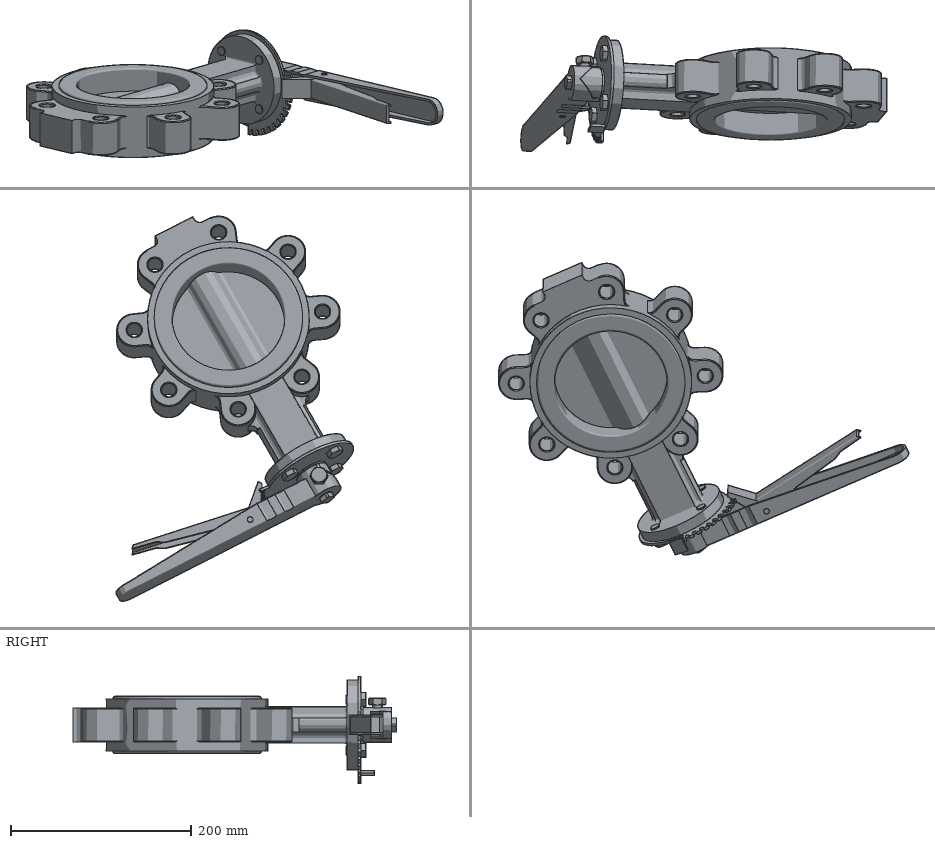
import cadquery as cq
import math


bore_d = 125.0
bore_rim_fillet = 2.3
ring_d = 180.0
ring_width = 58.0
seat_face_d = 165.0
seat_width = 63.7
seat_face_fillet = 2.5

lug_count = 8
lug_circle_r = 105.0
lug_r = 19.5
lug_thickness = 38.0
lug_hole_d = 16.0
lug_hole_chamfer = 1.0
lug_root_r = 9.0
lug_root_sink = 0.5
lug_edge_chamfer = 1.0
lug_step = 360 / lug_count

foot_half_width = 23.8
foot_bottom_y = -127.0
foot_shelf_y = -(lug_circle_r * math.cos(math.radians(lug_step / 2)) + lug_r)
foot_corner_r = 6.8

neck_width = 42.2
neck_depth = 40.7
rib_half_width = 31.0
rib_half_depth = 8.0
rib_end_x = 27.5
rib_root_z = 16.0
neck_fillet = 2.5
gusset_r = 7.5
gusset_top_y = 124.5
gusset_bottom_y = 105.5

flange_d = 100.0
flange_bottom_y = 178.0
flange_top_y = 190.0
plate_r = 54.0
plate_thickness = 3.0
plate_top_y = flange_top_y + plate_thickness
bolt_offset = 28.3
bolt_places = [(x, z) for x in (-bolt_offset, bolt_offset) for z in (-bolt_offset, bolt_offset)]
bolt_d = 10.0
bolt_head_flats = 16.0
bolt_head_height = 5.5
bolt_tip_length = 1.5

sector_r = 65.2
slot_count = 12
slot_width = 4.0
slot_bottom_r = 58.8
first_slot_angle = 4.7
slot_pitch = (90 - first_slot_angle) / (slot_count - 2)
sector_end_angle = 90 + 1.5 * slot_pitch
stop_tab_angle = -10.5
stop_tab_r = 54.3
stop_tab_width = 15.5
stop_tab_height = 16.5

disc_hub_r = 19.4
disc_hub_half_chord = 16.5
disc_root_half_width = 24.0
stem_d = 16.0
stem_tip_flats = 13.0
stem_bottom_y = -83.0
stem_top_y = 233.0

hub_d = 39.0
hub_relief_d = 36.5
hub_foot_d = 35.5
hub_foot_height = 2.3
hub_top_y = 227.5
relief_apex_y = 221.0
relief_corner_y = 204.5
relief_half_width = 17.7
lever_half_depth = 14.9
lever_corner_r = 14.7
lever_wall = 2.5
lever_end_x = 260.0
lever_taper_start = (74.3, 203.5)
lever_taper_end = (245.0, 217.5)
lever_edge_fillet = 1.32
pocket_start_x = 22.5
grip_grooves = [(40.5, 51.5), (62.0, 74.3)]
groove_depth = 1.0
pivot = (89.9, 217.0)
pivot_d = 6.5
set_screw_y = 211.5
set_screw_neck_d = 11.0
set_screw_flats = 17.0
set_screw_chamfer = 1.0
set_screw_head_z = (22.2, 29.8)

trigger_half_depth = 11.0
trigger_wall = 2.3
trigger_edge_fillet = 1.5
trigger_bend = (83.7, 202.0)
trigger_tip = (217.5, 180.0)
trigger_top_edge = [(221.3, 183.2), (193.8, 189.0), (184.7, 194.0), (132.0, 206.5), (96.0, 222.0), (81.0, 222.0)]
catch_throat = (69.0, 203.5)
catch_corner = (57.3, 184.7)
catch_tip = (60.0, 180.2)
catch_hollow_bottom_y = 189.2
pivot_pin_overhang = 0.8


def y_cylinder(diameter, bottom_y, top_y, x=0, z=0):
    """Cylinder along Y."""
    base = cq.Workplane("XZ", origin=(x, bottom_y, z))
    return base.circle(diameter / 2).extrude(bottom_y - top_y)


def y_hexagon(flats, bottom_y, top_y, x, z):
    """Hexagonal prism along Y, with two corners pointing along X."""
    base = cq.Workplane("XZ", origin=(x, bottom_y, z))
    return base.polygon(6, flats / math.cos(math.pi / 6)).extrude(bottom_y - top_y)


def z_slab(outline, half_depth):
    """Closed outline in XY, extruded to both sides of Z = 0."""
    return outline.close().extrude(2 * half_depth).translate((0, 0, -half_depth))


def z_cylinder(diameter, height, x=0, y=0):
    """Cylinder along Z, centred on Z = 0."""
    return cq.Workplane("XY", origin=(x, y, -height / 2)).circle(diameter / 2).extrude(height)


def make_ring():
    seat = z_cylinder(seat_face_d, seat_width).faces("|Z").edges().fillet(seat_face_fillet)
    return seat.union(z_cylinder(ring_d, ring_width))


def make_lug(angle):
    """Round lug with straight sides on the +X side, blended into the ring, then turned in place."""
    root_y = lug_r + lug_root_r
    rooted_r = ring_d / 2 - lug_root_sink
    root_angle = math.asin(root_y / (rooted_r + lug_root_r))
    root_x = root_y / math.tan(root_angle)
    ring_x = rooted_r * math.cos(root_angle)
    ring_y = rooted_r * math.sin(root_angle)
    bend_angle = (math.pi / 2 + root_angle) / 2
    mid_x = root_x - lug_root_r * math.sin(math.pi / 2 - bend_angle)
    mid_y = root_y - lug_root_r * math.sin(bend_angle)
    outline = (
        cq.Workplane("XY")
        .moveTo(ring_x - lug_root_r, -ring_y)
        .lineTo(ring_x, -ring_y)
        .threePointArc((mid_x, -mid_y), (root_x, -lug_r))
        .lineTo(lug_circle_r, -lug_r)
        .threePointArc((lug_circle_r + lug_r, 0), (lug_circle_r, lug_r))
        .lineTo(root_x, lug_r)
        .threePointArc((mid_x, mid_y), (ring_x, ring_y))
        .lineTo(ring_x - lug_root_r, ring_y)
    )
    lug = z_slab(outline, lug_thickness / 2)
    lug = lug.faces("|Z").edges().chamfer(lug_edge_chamfer)
    return lug.rotate((0, 0, 0), (0, 0, 1), angle)


def make_lug_hole(angle):
    """Cutter for one bolt hole with a small chamfer at each end."""
    half = lug_thickness / 2
    rim_r = lug_hole_d / 2 + lug_hole_chamfer
    hole = (
        cq.Workplane("XZ")
        .moveTo(0, -half)
        .lineTo(rim_r, -half)
        .lineTo(lug_hole_d / 2, -half + lug_hole_chamfer)
        .lineTo(lug_hole_d / 2, half - lug_hole_chamfer)
        .lineTo(rim_r, half)
        .lineTo(0, half)
        .close()
        .revolve(360, (0, 0, 0), (0, 1, 0))
    )
    return hole.translate((lug_circle_r, 0, 0)).rotate((0, 0, 0), (0, 0, 1), angle)


def make_foot():
    """Block between the two bottom lugs, with a concave corner on each side."""
    shelf_x = foot_half_width + foot_corner_r
    corner_y = foot_shelf_y - foot_corner_r
    bulge = foot_corner_r * (1 - math.sqrt(0.5))
    lug_x = lug_circle_r * math.sin(math.radians(lug_step / 2))
    outline = (
        cq.Workplane("XY")
        .moveTo(-foot_half_width, foot_bottom_y)
        .lineTo(foot_half_width, foot_bottom_y)
        .lineTo(foot_half_width, corner_y)
        .threePointArc((foot_half_width + bulge, foot_shelf_y - bulge), (shelf_x, foot_shelf_y))
        .lineTo(lug_x, foot_shelf_y)
        .lineTo(lug_x, -bore_d / 2)
        .lineTo(-lug_x, -bore_d / 2)
        .lineTo(-lug_x, foot_shelf_y)
        .lineTo(-shelf_x, foot_shelf_y)
        .threePointArc((-foot_half_width - bulge, foot_shelf_y - bulge), (-foot_half_width, corner_y))
    )
    return z_slab(outline, lug_thickness / 2)


def make_neck():
    """Rectangular column with a round-edged rib along each side, and its flange."""
    half_width = neck_width / 2
    half_depth = neck_depth / 2
    root_bend = 1 - math.sqrt(0.5)
    root_x = half_width + (rib_end_x - half_width) * root_bend
    root_z = rib_half_depth + (rib_root_z - rib_half_depth) * root_bend
    outline = cq.Workplane("XZ", origin=(0, flange_bottom_y, 0)).moveTo(-half_width, half_depth)
    for side in (1, -1):
        outline = (
            outline.lineTo(side * half_width, side * half_depth)
            .lineTo(side * half_width, side * rib_root_z)
            .threePointArc((side * root_x, side * root_z), (side * rib_end_x, side * rib_half_depth))
            .threePointArc((side * rib_half_width, 0), (side * rib_end_x, -side * rib_half_depth))
            .threePointArc((side * root_x, -side * root_z), (side * half_width, -side * rib_root_z))
            .lineTo(side * half_width, -side * half_depth)
        )
    neck = outline.close().extrude(flange_bottom_y - bore_d / 2)
    flange = y_cylinder(flange_d, flange_bottom_y, flange_top_y)
    joint = cq.selectors.BoxSelector(
        (-rib_half_width - 3.8, flange_bottom_y - 0.5, -half_depth - 3.8),
        (rib_half_width + 3.8, flange_bottom_y + 0.5, half_depth + 3.8),
        boundingbox=True,
    )
    return neck.union(flange).edges(joint).fillet(neck_fillet)


def make_gusset(side):
    """Small concave flare between the rib and the upper lug."""
    rib_x = side * rib_half_width
    flare_x = side * (rib_half_width + gusset_r)
    flare_y = gusset_top_y - gusset_r
    bulge = gusset_r * (1 - math.sqrt(0.5))
    outline = (
        cq.Workplane("XY")
        .moveTo(0, gusset_top_y)
        .lineTo(rib_x, gusset_top_y)
        .threePointArc((rib_x + side * bulge, flare_y + bulge), (flare_x, flare_y))
        .lineTo(flare_x, gusset_bottom_y)
        .lineTo(0, gusset_bottom_y)
    )
    return z_slab(outline, rib_half_depth)


def make_body():
    body = make_ring().union(make_neck()).union(make_foot())
    for index in range(lug_count):
        body = body.union(make_lug(lug_step * (index + 0.5)))
    for side in (-1, 1):
        body = body.union(make_gusset(side))
    body = body.cut(z_cylinder(bore_d, seat_width))
    bore_rims = cq.selectors.RadiusNthSelector(0)
    body = body.faces("<Z or >Z").edges(bore_rims).fillet(bore_rim_fillet)
    for index in range(lug_count):
        body = body.cut(make_lug_hole(lug_step * (index + 0.5)))
    body = body.cut(y_cylinder(stem_d, stem_bottom_y, flange_top_y))
    for x, z in bolt_places:
        body = body.cut(y_cylinder(bolt_d, flange_bottom_y - 3.8, flange_top_y, x, z))
    return body


def make_disc():
    """Round disc with a blended hub rib, on one stem that runs from the lower seat to the lever."""
    rib_z = math.sqrt(disc_hub_r**2 - disc_hub_half_chord**2)
    tilt = math.asin(disc_hub_half_chord / disc_hub_r)
    root_r = (disc_root_half_width - disc_hub_half_chord) / math.sin(tilt)
    root_top_z = rib_z - root_r * (1 - math.cos(tilt))
    mid_x = disc_root_half_width - root_r * math.sin(tilt / 2)
    mid_z = root_top_z + root_r * (1 - math.cos(tilt / 2))
    bore_r = bore_d / 2
    outline = (
        cq.Workplane("XZ", origin=(0, -bore_r, 0))
        .moveTo(-bore_r, root_top_z)
        .lineTo(-disc_root_half_width, root_top_z)
        .threePointArc((-mid_x, mid_z), (-disc_hub_half_chord, rib_z))
        .threePointArc((0, disc_hub_r), (disc_hub_half_chord, rib_z))
        .threePointArc((mid_x, mid_z), (disc_root_half_width, root_top_z))
        .lineTo(bore_r, root_top_z)
        .lineTo(bore_r, 0)
        .lineTo(-bore_r, 0)
    )
    half = outline.close().extrude(-bore_d)
    disc = half.union(half.mirror("XY"))
    disc = disc.intersect(z_cylinder(bore_d, bore_d))
    tip = cq.Workplane("XZ", origin=(0, hub_top_y, 0)).rect(stem_tip_flats, stem_tip_flats)
    tip = tip.extrude(hub_top_y - stem_top_y).rotate((0, 0, 0), (0, 1, 0), 45)
    tip = tip.intersect(y_cylinder(stem_d, hub_top_y, stem_top_y))
    return disc.union(y_cylinder(stem_d, stem_bottom_y, hub_top_y)).union(tip)


def make_notch_plate():
    """Round plate with a wider rim, slotted from -Z round past +X, and a bent stop tab."""
    end = math.radians(sector_end_angle)
    middle = end / 2
    sector = (
        cq.Workplane("XZ", origin=(0, flange_top_y, 0))
        .lineTo(0, -sector_r)
        .threePointArc(
            (sector_r * math.sin(middle), -sector_r * math.cos(middle)),
            (sector_r * math.sin(end), -sector_r * math.cos(end)),
        )
        .close()
        .extrude(-plate_thickness)
    )
    plate = y_cylinder(2 * plate_r, flange_top_y, plate_top_y).union(sector)
    slot_length = 2 * (sector_r - slot_bottom_r)
    slot = (
        cq.Workplane("XZ", origin=(0, flange_top_y, 0))
        .center(0, -slot_bottom_r - slot_length / 2)
        .slot2D(slot_length, slot_width, 90)
        .extrude(-plate_thickness)
    )
    for index in range(slot_count):
        angle = first_slot_angle + index * slot_pitch
        plate = plate.cut(slot.rotate((0, 0, 0), (0, 1, 0), -angle))
    tab_bottom_y = flange_top_y + plate_thickness / 2
    tab = (
        cq.Workplane("XZ", origin=(0, tab_bottom_y, 0))
        .center(0, -stop_tab_r)
        .rect(stop_tab_width, plate_thickness)
        .extrude(-stop_tab_height)
        .rotate((0, 0, 0), (0, 1, 0), -stop_tab_angle)
    )
    plate = plate.union(tab).cut(y_cylinder(stem_d, flange_top_y, plate_top_y))
    for x, z in bolt_places:
        plate = plate.cut(y_cylinder(bolt_d, flange_top_y, plate_top_y, x, z))
    return plate


def make_bolt(x, z):
    head = y_hexagon(bolt_head_flats, plate_top_y, plate_top_y + bolt_head_height, x, z)
    return head.union(y_cylinder(bolt_d, flange_bottom_y - bolt_tip_length, plate_top_y, x, z))


def make_hub():
    """Hub whose -X side is thinned inside a V-shaped outline that widens towards the plate."""
    foot_top_y = plate_top_y + hub_foot_height
    hub = y_cylinder(hub_d, foot_top_y, hub_top_y)
    relief = (
        cq.Workplane("YZ", origin=(-hub_d, 0, 0))
        .moveTo(relief_apex_y, 0)
        .lineTo(relief_corner_y, relief_half_width)
        .lineTo(foot_top_y, relief_half_width)
        .lineTo(foot_top_y, -relief_half_width)
        .lineTo(relief_corner_y, -relief_half_width)
        .close()
        .extrude(hub_d)
        .cut(y_cylinder(hub_relief_d, foot_top_y, hub_top_y))
    )
    return hub.cut(relief).union(y_cylinder(hub_foot_d, plate_top_y, foot_top_y))


def make_handle():
    """Tapered channel, open towards -Y and closed by a round end."""
    outline = (
        cq.Workplane("XY")
        .moveTo(0, hub_top_y)
        .lineTo(lever_end_x, hub_top_y)
        .lineTo(lever_end_x, lever_taper_end[1])
        .lineTo(*lever_taper_end)
        .lineTo(*lever_taper_start)
        .lineTo(0, lever_taper_start[1])
    )
    handle = z_slab(outline, lever_half_depth)
    handle = handle.edges("|Y and >X").fillet(lever_corner_r)
    handle = handle.faces(">Y").edges("not <X").fillet(lever_edge_fillet)
    inner_r = lever_half_depth - lever_wall
    inner_end_x = lever_end_x - lever_half_depth
    pocket_bottom = cq.Workplane("XZ", origin=(0, lever_taper_start[1], 0))
    pocket = (
        pocket_bottom.moveTo(pocket_start_x, inner_r)
        .lineTo(inner_end_x, inner_r)
        .threePointArc((inner_end_x + inner_r, 0), (inner_end_x, -inner_r))
        .lineTo(pocket_start_x, -inner_r)
        .close()
        .extrude(lever_taper_start[1] - hub_top_y + lever_wall)
    )
    return handle.cut(pocket)


def make_grip_groove(start_x, end_x, side):
    """Shallow round groove across one side wall of the handle."""
    half_width = (end_x - start_x) / 2
    groove_r = (half_width**2 + groove_depth**2) / (2 * groove_depth)
    centre_z = side * (lever_half_depth - groove_depth + groove_r)
    return y_cylinder(2 * groove_r, plate_top_y, hub_top_y, start_x + half_width, centre_z)


def make_set_screw():
    base_z, top_z = set_screw_head_z
    neck = cq.Workplane("XY").center(0, set_screw_y).circle(set_screw_neck_d / 2).extrude(base_z)
    neck = neck.cut(y_cylinder(stem_d, plate_top_y, hub_top_y))
    corners = set_screw_flats / math.cos(math.pi / 6)
    head = (
        cq.Workplane("XY", origin=(0, set_screw_y, base_z))
        .polygon(6, corners)
        .extrude(top_z - base_z)
        .rotate((0, set_screw_y, 0), (0, set_screw_y, 1), 30)
    )
    blank = cq.Workplane("XY", origin=(0, set_screw_y, base_z)).circle(corners / 2)
    blank = blank.extrude(top_z - base_z).faces("|Z").edges().chamfer(set_screw_chamfer)
    return neck.union(head.intersect(blank))


def make_lever():
    lever = make_hub().union(make_handle())
    for start_x, end_x in grip_grooves:
        for side in (-1, 1):
            lever = lever.cut(make_grip_groove(start_x, end_x, side))
    lever = lever.cut(y_cylinder(stem_d, plate_top_y, hub_top_y))
    lever = lever.cut(z_cylinder(pivot_d, 2 * lever_half_depth, *pivot))
    return lever.union(make_set_screw())


def make_trigger():
    """Channel-shaped squeeze grip with its pivot pin; the walls of its short arm fit into notches."""
    outline = cq.Workplane("XY").polyline(
        [trigger_bend, trigger_tip, *trigger_top_edge, catch_throat, catch_corner, catch_tip]
    )
    solid = z_slab(outline, trigger_half_depth)
    web_middle = ((trigger_bend[0] + trigger_tip[0]) / 2, (trigger_bend[1] + trigger_tip[1]) / 2, 0)
    web_face = solid.faces(cq.selectors.NearestToPointSelector(web_middle))
    solid = web_face.edges("not |Z").fillet(trigger_edge_fillet)

    bend_x, bend_y = trigger_bend
    web_slope = (trigger_tip[1] - bend_y) / (trigger_tip[0] - bend_x)
    catch_slope = (bend_y - catch_tip[1]) / (bend_x - catch_tip[0])
    floor_y = bend_y + trigger_wall
    floor_end_x = lever_end_x
    catch_floor_x = bend_x - (floor_y - catch_hollow_bottom_y) / catch_slope
    hollow = cq.Workplane("XY").polyline(
        [
            (bend_x, floor_y),
            (floor_end_x, floor_y + web_slope * (floor_end_x - bend_x)),
            (floor_end_x, hub_top_y),
            (0, hub_top_y),
            (0, catch_hollow_bottom_y),
            (catch_floor_x, catch_hollow_bottom_y),
        ]
    )
    channel = solid.cut(z_slab(hollow, trigger_half_depth - trigger_wall))
    return channel.union(z_cylinder(pivot_d, 2 * (lever_half_depth + pivot_pin_overhang), *pivot))


body = make_body()
disc = make_disc()
notch_plate = make_notch_plate()
bolts = [make_bolt(x, z).val() for x, z in bolt_places]
lever = make_lever()
trigger = make_trigger()

result = cq.Compound.makeCompound(
    [body.val(), disc.val(), notch_plate.val(), *bolts, lever.val(), trigger.val()]
)